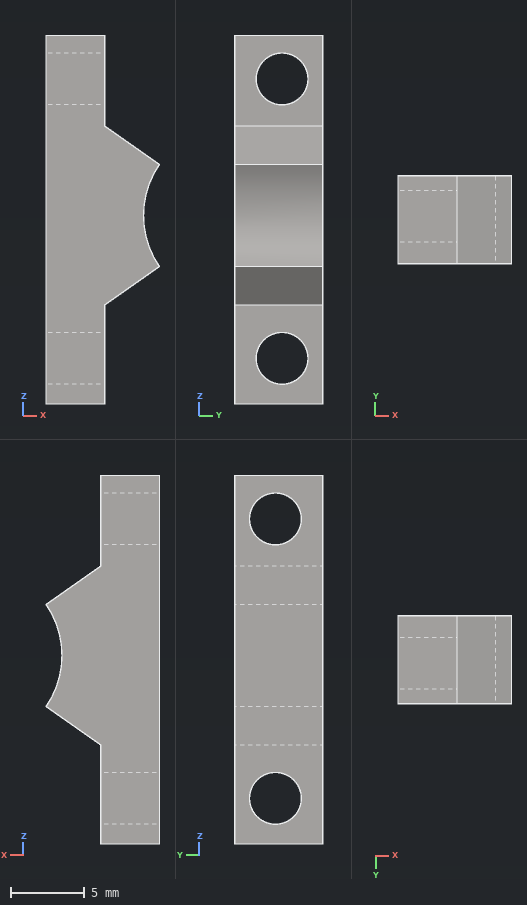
import cadquery as cq

height = 25.08
depth = 6.0
plate_thickness = 4.01

overall_width = 7.72
saddle_base_bottom = 6.75
saddle_base_top = 18.9
saddle_tip_bottom = 9.35
saddle_tip_top = 16.3
hollow_depth = 1.08

hole_diameter = 3.5
hole_offset_y = 0.23
hole_heights = (3.1, 22.12)


def make_profile():
    """Plate and saddle as one outline in the XZ plane, extruded symmetrically in Y."""
    hollow_middle = (overall_width - hollow_depth, (saddle_tip_bottom + saddle_tip_top) / 2)
    return (
        cq.Workplane("XZ")
        .lineTo(plate_thickness, 0)
        .lineTo(plate_thickness, saddle_base_bottom)
        .lineTo(overall_width, saddle_tip_bottom)
        .threePointArc(hollow_middle, (overall_width, saddle_tip_top))
        .lineTo(plate_thickness, saddle_base_top)
        .lineTo(plate_thickness, height)
        .lineTo(0, height)
        .close()
        .extrude(depth / 2, both=True)
    )


def make_holes():
    """Through holes along X, one near each end of the plate."""
    return (
        cq.Workplane("YZ")
        .pushPoints([(hole_offset_y, z) for z in hole_heights])
        .circle(hole_diameter / 2)
        .extrude(plate_thickness)
    )


result = make_profile().cut(make_holes())